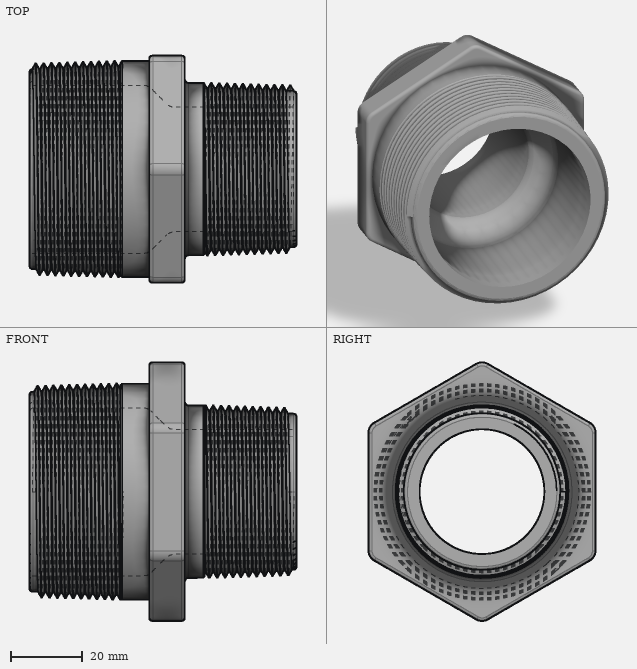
import cadquery as cq
import math

length = 74.7
edge_radius = 1.0

hex_start = 33.45
hex_end = 43.5
hex_across_flats = 63.5
hex_corner_radius = 3.2

large_collar_radius = 60.4 / 2
small_collar_radius = 48.25 / 2
large_collar_start = 25.5
small_collar_end = 49.1
collar_chamfer = 0.5

taper = 1 / 32
large_root_radius = 27.9
small_root_radius = 21.8
thread_length = 24.3
turns = 11
pitch = thread_length / turns
thread_inset = 1.8
thread_height = 1.6
crest_width = 0.15
base_width = crest_width + 2 * thread_height * math.tan(math.radians(30))
root_overlap = 0.3

large_bore_radius = 47.0 / 2
small_bore_radius = 34.8 / 2
bore_cone_start = 33.1
bore_cone_angle = 45.0
bore_step = large_bore_radius - small_bore_radius
bore_cone_end = bore_cone_start + bore_step / math.tan(math.radians(bore_cone_angle))
bore_blend_radius = 3.0

seam_angle = 135.0
select_margin = 0.1


def edges_within(x_start, x_end, radius):
    """Selector for edges lying wholly between two X positions and inside a radius."""
    reach = radius + select_margin
    return cq.selectors.BoxSelector(
        (x_start - select_margin, -reach, -reach),
        (x_end + select_margin, reach, reach),
        boundingbox=True,
    )


def make_pipe():
    """Solid of revolution with tapered thread roots and plain collars."""
    large_root_inner = large_root_radius + taper * large_collar_start
    small_root_inner = small_root_radius + taper * (length - small_collar_end)
    outline = [
        (0, 0),
        (0, large_root_radius),
        (large_collar_start, large_root_inner),
        (large_collar_start, large_collar_radius - collar_chamfer),
        (large_collar_start + collar_chamfer, large_collar_radius),
        (hex_end, large_collar_radius),
        (hex_end, small_collar_radius),
        (small_collar_end - collar_chamfer, small_collar_radius),
        (small_collar_end, small_collar_radius - collar_chamfer),
        (small_collar_end, small_root_inner),
        (length, small_root_radius),
        (length, 0),
    ]
    pipe = cq.Workplane("XY").polyline(outline).close().revolve(360, (0, 0, 0), (1, 0, 0))
    pipe = pipe.rotate((0, 0, 0), (1, 0, 0), seam_angle)
    pipe = pipe.faces("<X or >X").edges().fillet(edge_radius)
    neck_corner = edges_within(hex_end, hex_end, small_collar_radius)
    return pipe.edges(neck_corner).fillet(edge_radius)


def make_hex():
    """Hexagonal grip with rounded corners and rims."""
    across_corners = hex_across_flats / math.cos(math.radians(30))
    grip = (
        cq.Workplane("YZ", origin=(hex_start, 0, 0))
        .transformed(rotate=(0, 0, 90))
        .polygon(6, across_corners)
        .extrude(hex_end - hex_start)
    )
    grip = grip.edges("|X").fillet(hex_corner_radius)
    return grip.faces("<X or >X").edges().fillet(edge_radius)


def make_thread(start, start_root_radius, slope):
    """Right-hand helical ridge on a cone, beginning at the +Y side at X = start."""
    cone_angle = math.degrees(math.atan(slope))
    path = cq.Wire.makeHelix(pitch, thread_length, start_root_radius, angle=cone_angle)
    crest = start_root_radius + thread_height
    ridge = (
        cq.Workplane("XZ")
        .polyline([
            (start_root_radius - root_overlap, -base_width / 2),
            (start_root_radius, -base_width / 2),
            (crest, -crest_width / 2),
            (crest, crest_width / 2),
            (start_root_radius, base_width / 2),
            (start_root_radius - root_overlap, base_width / 2),
        ])
        .close()
        .sweep(cq.Workplane(path), isFrenet=True)
    )
    return ridge.rotate((0, 0, 0), (1, 1, 1), 120).translate((start, 0, 0))


def make_bore():
    """Stepped through bore with a blended cone between the two diameters."""
    outline = [
        (0, 0),
        (0, large_bore_radius),
        (bore_cone_start, large_bore_radius),
        (bore_cone_end, small_bore_radius),
        (length, small_bore_radius),
        (length, 0),
    ]
    bore = cq.Workplane("XY").polyline(outline).close().revolve(360, (0, 0, 0), (1, 0, 0))
    cone_rims = edges_within(bore_cone_start, bore_cone_end, large_bore_radius)
    return bore.edges(cone_rims).edges("%CIRCLE").fillet(bore_blend_radius)


large_thread = make_thread(thread_inset, large_root_radius + taper * thread_inset, taper)
small_thread_start = length - thread_inset - thread_length
small_thread_start_radius = small_root_radius + taper * (length - small_thread_start)
small_thread = make_thread(small_thread_start, small_thread_start_radius, -taper)

body = make_pipe().union(make_hex()).cut(make_bore())
result = body.union(large_thread).union(small_thread).solids()